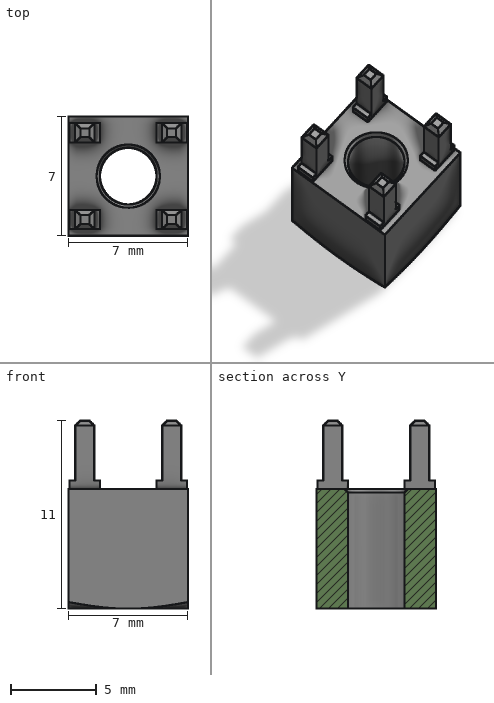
import cadquery as cq
import math

body_side = 7.0
underside_angle = 15.0
flat_radius = body_side / 2

hole_diameter = 3.3
countersink_depth = 0.2

pin_pitch = 5.08
pin_width = 1.12
pin_length = 4.0
tip_chamfer = 0.3
foot_length = 1.8
foot_height = 0.5


def make_body():
    """Cube whose four lower corners are cut away by a shallow cone."""
    cube = cq.Workplane("XY").box(body_side, body_side, body_side, centered=(True, True, False))
    outer_radius = body_side
    cone_rise = (outer_radius - flat_radius) * math.tan(math.radians(underside_angle))
    turned_blank = (
        cq.Workplane("XZ")
        .moveTo(0, 0)
        .lineTo(flat_radius, 0)
        .lineTo(outer_radius, cone_rise)
        .lineTo(outer_radius, body_side)
        .lineTo(0, body_side)
        .close()
        .revolve(360, (0, 0, 0), (0, 1, 0))
    )
    return cube.intersect(turned_blank)


def cut_hole(body):
    """Through hole along Z, countersunk on the top face."""
    drilled = body.faces(">Z").workplane(origin=(0, 0, body_side)).hole(hole_diameter)
    return drilled.faces(">Z").edges("%CIRCLE").chamfer(countersink_depth)


def make_pin():
    """Square pin with a tapered tip, standing on a foot that is wider along X."""
    pin = (
        cq.Workplane("XY")
        .box(pin_width, pin_width, pin_length, centered=(True, True, False))
        .faces(">Z")
        .chamfer(tip_chamfer)
    )
    foot = cq.Workplane("XY").box(foot_length, pin_width, foot_height, centered=(True, True, False))
    return pin.union(foot)


result = cut_hole(make_body())
for x_side in (-1, 1):
    for y_side in (-1, 1):
        pin_position = (x_side * pin_pitch / 2, y_side * pin_pitch / 2, body_side)
        result = result.union(make_pin().translate(pin_position))